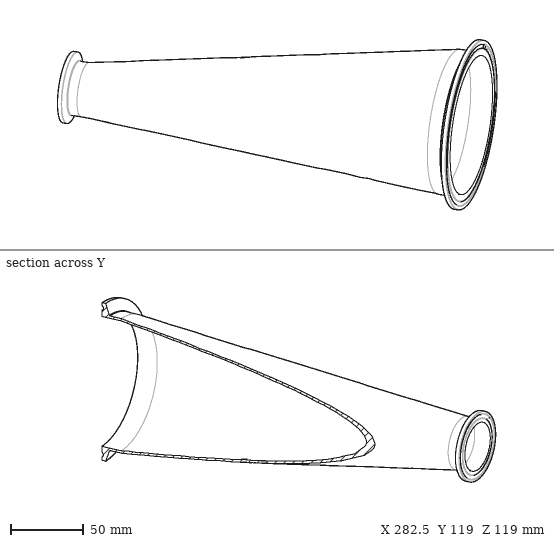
import cadquery as cq
import math

length = 282.5
rim_width = 3.0
flange_slope_angle = 20
flange_base_fillet = 0.5
rim_fillet = 0.3
groove_width = 2.8
groove_depth = 1.0
groove_lip_fillet = 0.5

small_flange_dia = 50.3
small_tube_dia = 38.1
small_bore_dia = 34.8
small_groove_dia = 43.5
small_end_length = 12.5

large_flange_dia = 119.0
large_tube_dia = 101.7
large_bore_dia = 97.5
large_groove_dia = 110.2
large_end_length = 15.8

small_axis_y = (small_tube_dia - large_tube_dia) / 2
cone_start = small_end_length
cone_end = length - large_end_length


def round_edge(body, edge_x, edge_radius, fillet_radius):
    """Fillet the circular edge of a turned body found at the given place and radius."""
    tolerance = 0.003
    edges = body.edges("%CIRCLE").filter(
        lambda edge: abs(edge.Center().x - edge_x) < tolerance
        and abs(edge.radius() - edge_radius) < tolerance
    )
    return edges.fillet(fillet_radius)


def ferrule(flange_dia, tube_dia, bore_dia, groove_dia, end_length):
    """Ferrule with its clamp face at X = 0 and its tube running toward +X."""
    slope_rise = (flange_dia - tube_dia) / 2
    slope_end = rim_width + slope_rise * math.tan(math.radians(flange_slope_angle))
    groove_inner = (groove_dia - groove_width) / 2
    groove_outer = (groove_dia + groove_width) / 2
    body = (
        cq.Workplane("XY")
        .moveTo(0, bore_dia / 2)
        .lineTo(0, groove_inner)
        .threePointArc((groove_depth, groove_dia / 2), (0, groove_outer))
        .lineTo(0, flange_dia / 2)
        .lineTo(rim_width, flange_dia / 2)
        .lineTo(slope_end, tube_dia / 2)
        .lineTo(end_length, tube_dia / 2)
        .lineTo(end_length, bore_dia / 2)
        .close()
        .revolve(360, (0, 0, 0), (1, 0, 0))
    )
    body = round_edge(body, 0, groove_inner, groove_lip_fillet)
    body = round_edge(body, 0, groove_outer, groove_lip_fillet)
    body = round_edge(body, 0, flange_dia / 2, rim_fillet)
    body = round_edge(body, rim_width, flange_dia / 2, rim_fillet)
    return round_edge(body, slope_end, tube_dia / 2, flange_base_fillet)


def offset_cone(small_dia, large_dia):
    """Solid cone between the two tube ends, with offset axes."""
    return (
        cq.Workplane("YZ", origin=(cone_start, 0, 0))
        .center(small_axis_y, 0)
        .circle(small_dia / 2)
        .workplane(offset=cone_end - cone_start)
        .center(-small_axis_y, 0)
        .circle(large_dia / 2)
        .loft(ruled=True, combine=True)
    )


small_end = ferrule(
    small_flange_dia, small_tube_dia, small_bore_dia, small_groove_dia, small_end_length
).translate((0, small_axis_y, 0))

large_end = (
    ferrule(large_flange_dia, large_tube_dia, large_bore_dia, large_groove_dia, large_end_length)
    .mirror("YZ")
    .translate((length, 0, 0))
)

cone = offset_cone(small_tube_dia, large_tube_dia).cut(offset_cone(small_bore_dia, large_bore_dia))

result = cone.union(small_end).union(large_end)